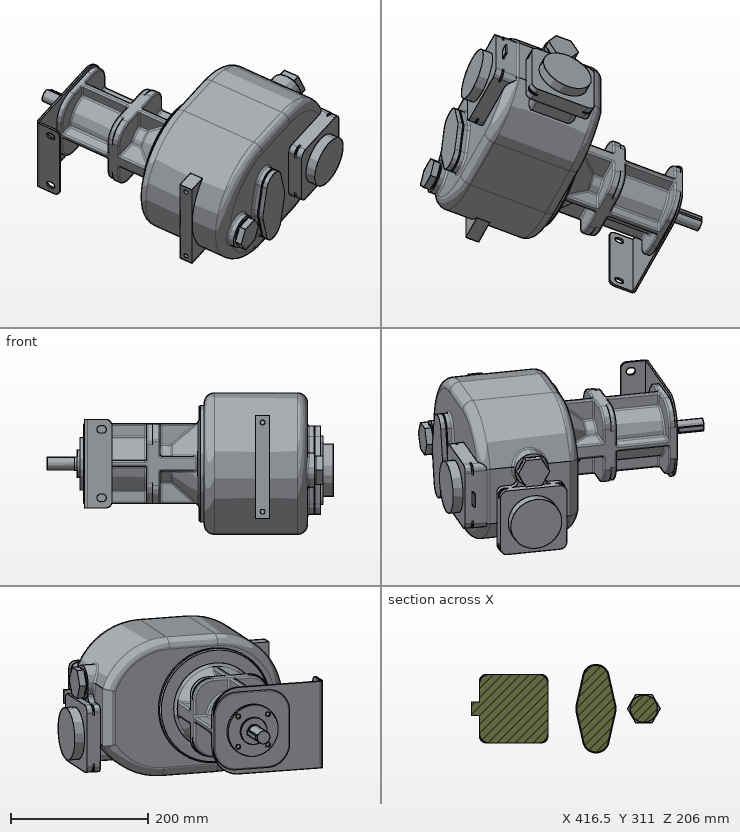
import cadquery as cq
import math


seam_tolerance = 0.001
pick_margin = 0.1
seam_samples = (0.2, 0.5, 0.8)

tank_length = 150.6
tank_radius = 103.0
tank_edge_radius = 15.0
near_arc_y = -6.2
upper_arc_y = 68.0
lower_arc_y = 77.0
tank_side_y = 165.5

shaft_radius = 9.5
shaft_collar_radius = 10.0
hub_radius = 20.0
bearing_cover_radius = 38.4
tip_x = -228.5
collar_x = -188.8
hub_x = -184.8
bearing_cover_x = -180.8
key_width = 6.5
key_top = 12.3
key_start_x = -227.0
key_end_x = -190.0
bearing_cover_hole_offset = 22.7
bearing_cover_hole_diameter = 7.0
bearing_cover_hole_depth = 3.0

housing_width = 116.5
front_flange_x = -175.5
front_flange_end_x = -162.3
front_flange_corner = 34.0
front_flange_edge_radius = 2.0
barrel_radius = 38.5
rib_thickness = 8.5
rim_radius = 2.5
pocket_fillet = 2.5
middle_flange_x = -84.0
middle_joint_x = -75.5
middle_flange_end_x = -64.0
housing_corner = 30.0
adapter_corner = 26.5

neck_radius = 27.0
cone_x = -47.0
neck_blend_radius = 4.0
cone_end_x = -10.0
cone_end_radius = 59.5
disc_x = -7.2
cone_foot_radius = 64.0
disc_radius = 85.0
disc_chamfer = 2.0
wide_rib_thickness = 21.5
adapter_rib_end_x = -2.0

bracket_x = -174.5
sheet = 3.0
bracket_half_width = 64.6
bracket_corner = 38.0
bracket_bottom_y = -109.8
bracket_length = 40.5
bracket_foot_corner = 9.5
bracket_bend_radius = 5.0
slot_center_x = -149.2
slot_half_spacing = 49.8
slot_length = 13.8
slot_width = 11.0

bar_bottom_y = -110.0
bar_inner_y = -60.0
bar_x = 85.0
bar_width = 20.6
bar_top_z = 70.0
bar_length = 150.0
bar_hole_inset = 10.0
bar_hole_diameter = 7.0
bar_hole_depth = 15.0

port_width = 100.0
port_layer_corners = (9.0, 14.0, 10.5)
port_radius = 38.3
port_root_width = 74.0
port_root_corner = 9.0
web_fillet = 8.4
discharge_x = 75.4
discharge_z = -45.0
discharge_base_y = 130.0
discharge_layers_y = (165.5, 174.7, 176.7, 186.0)
discharge_end_y = 201.0
suction_y = 114.7
back_axis_z = -9.5
suction_base_x = 130.0
suction_layers_x = (suction_base_x, 160.5, 162.8, 173.0)
suction_end_x = 188.0
gasket_tab_width = 20.0
gasket_tab_top_y = 176.5

inspection_cover_y = -5.0
inspection_cover_middle_radius = 29.2
inspection_cover_lug_radius = 19.3
inspection_cover_lug_offset = 45.1
inspection_cover_boss_end_x = 160.0
inspection_cover_gap_end_x = 161.7
inspection_cover_end_x = 169.5
inspection_cover_gap_depth = 1.0
boss_fillet = 3.0

boss_radius = 25.0
plug_neck_radius = 20.0
plug_gap = 2.0
plug_head_height = 10.5
plug_sides = 6
plug_flats = 41.5
drain_y = -74.8
drain_boss_end_x = 160.7
fill_x = 75.6
fill_z = 30.2
fill_boss_end_y = 175.9
fill_boss_base_y = 130.0


def facing_x(x):
    """Workplane across the X axis with local axes Y and Z."""
    return cq.Workplane("YZ", origin=(x, 0, 0))


def facing_y(y):
    """Workplane across the Y axis with local axes X and Z; negative extrusions go toward +Y."""
    return cq.Workplane("XZ", origin=(0, y, 0))


def x_cylinder(x_start, x_end, radius, y=0, z=0):
    return facing_x(x_start).center(y, z).circle(radius).extrude(x_end - x_start)


def y_cylinder(y_start, y_end, radius, x, z):
    return facing_y(y_start).center(x, z).circle(radius).extrude(y_start - y_end)


def span_box(x_range, y_range, z_range):
    size = [high - low for low, high in (x_range, y_range, z_range)]
    corner = (x_range[0], y_range[0], z_range[0])
    return cq.Workplane("XY").box(*size, centered=False).translate(corner)


def x_square(x_start, x_end, width, corner, y=0, z=0):
    plate = facing_x(x_start).center(y, z).rect(width, width).extrude(x_end - x_start)
    return plate.edges("|X").fillet(corner)


def y_square(y_start, y_end, width, corner, x, z):
    plate = facing_y(y_start).center(x, z).rect(width, width).extrude(y_start - y_end)
    return plate.edges("|Y").fillet(corner)


def join_rounded(base, added, radius):
    """Join two bodies and round the edges where their surfaces meet."""
    skins = [shell for body in (base, added) for shell in body.shells().vals()]
    joined = base.union(added)
    seam = []
    for edge in joined.edges().vals():
        samples = [edge.positionAt(part).toTuple() for part in seam_samples]
        points = [cq.Vertex.makeVertex(*sample) for sample in samples]
        gap = max(point.distance(skin) for point in points for skin in skins)
        if gap < seam_tolerance:
            seam.append(edge)
    rounded = joined.newObject(seam).fillet(radius)
    return rounded.newObject([rounded.val().fix()])


def make_tank():
    upper_z = math.sqrt(tank_radius**2 - (tank_side_y - upper_arc_y) ** 2)
    lower_z = -math.sqrt(tank_radius**2 - (tank_side_y - lower_arc_y) ** 2)
    upper_angle = (math.pi / 2 + math.atan2(upper_z, tank_side_y - upper_arc_y)) / 2
    lower_angle = (-math.pi / 2 + math.atan2(lower_z, tank_side_y - lower_arc_y)) / 2
    upper_mid = (
        upper_arc_y + tank_radius * math.cos(upper_angle),
        tank_radius * math.sin(upper_angle),
    )
    lower_mid = (
        lower_arc_y + tank_radius * math.cos(lower_angle),
        tank_radius * math.sin(lower_angle),
    )
    outline = (
        facing_x(0)
        .moveTo(near_arc_y, tank_radius)
        .lineTo(upper_arc_y, tank_radius)
        .threePointArc(upper_mid, (tank_side_y, upper_z))
        .lineTo(tank_side_y, lower_z)
        .threePointArc(lower_mid, (lower_arc_y, -tank_radius))
        .lineTo(near_arc_y, -tank_radius)
        .threePointArc((near_arc_y - tank_radius, 0), (near_arc_y, tank_radius))
        .close()
    )
    return outline.extrude(tank_length).edges("<X or >X").fillet(tank_edge_radius)


def make_shaft_end():
    shaft = x_cylinder(tip_x, hub_x, shaft_radius)
    shaft = shaft.union(x_cylinder(collar_x, hub_x, shaft_collar_radius))
    key = span_box(
        (key_start_x, key_end_x), (0, key_top), (-key_width / 2, key_width / 2)
    )
    hub = x_cylinder(hub_x, bearing_cover_x, hub_radius)
    cover = (
        x_cylinder(bearing_cover_x, front_flange_x, bearing_cover_radius)
        .faces("<X")
        .workplane(origin=(bearing_cover_x, 0, 0))
        .rect(2 * bearing_cover_hole_offset, 2 * bearing_cover_hole_offset, forConstruction=True)
        .vertices()
        .hole(bearing_cover_hole_diameter, bearing_cover_hole_depth)
    )
    return shaft.union(key).union(hub).union(cover)


def cross_ribs(x_start, x_end, side_thickness, upright_thickness):
    """Ribs on the four sides of the axis, reaching the outline of the square flanges."""
    half = housing_width / 2
    side = span_box(
        (x_start, x_end), (-half, half), (-side_thickness / 2, side_thickness / 2)
    )
    upright = span_box(
        (x_start, x_end), (-upright_thickness / 2, upright_thickness / 2), (-half, half)
    )
    return side.union(upright)


def pocket_edges(body, x_start, x_end, on_rim):
    """Edges between two planes across the axis, on the outer rim of the pockets or inside them."""
    chosen = []
    for edge in body.edges().vals():
        middle = edge.positionAt(0.5)
        within = x_start - pick_margin < middle.x < x_end + pick_margin
        across = max(abs(middle.y), abs(middle.z))
        beyond_ribs = min(abs(middle.y), abs(middle.z)) > wide_rib_thickness
        outer = across > housing_width / 2 - pick_margin
        off_barrel = math.hypot(middle.y, middle.z) > barrel_radius + pick_margin
        outer = outer or (beyond_ribs and off_barrel)
        if within and outer == on_rim:
            chosen.append(edge)
    return body.newObject(chosen)


def round_pockets(body, x_start, x_end):
    """Round the inner corners of the pockets between the ribs, then their outer rims."""
    body = pocket_edges(body, x_start, x_end, on_rim=False).fillet(pocket_fillet)
    return pocket_edges(body, x_start, x_end, on_rim=True).fillet(rim_radius)


def make_bearing_housing():
    front = x_square(
        front_flange_x, front_flange_end_x, housing_width, front_flange_corner
    )
    front = front.faces("<X").edges().fillet(front_flange_edge_radius)
    barrel = x_cylinder(front_flange_end_x, middle_flange_x, barrel_radius)
    ribs = cross_ribs(
        front_flange_end_x, middle_flange_x, rib_thickness, rib_thickness
    )
    rear = x_square(middle_flange_x, middle_joint_x, housing_width, housing_corner)
    core = front.union(barrel).union(ribs).union(rear)
    return round_pockets(core, front_flange_end_x, middle_flange_x)


def make_adapter():
    flange = x_square(
        middle_joint_x, middle_flange_end_x, housing_width, adapter_corner
    )
    ribs = cross_ribs(
        middle_flange_end_x, adapter_rib_end_x, wide_rib_thickness, rib_thickness
    )
    frame = round_pockets(flange.union(ribs), middle_flange_end_x, cone_end_x)
    core_start_x = (middle_joint_x + middle_flange_end_x) / 2
    core = (
        cq.Workplane("XY")
        .moveTo(core_start_x, 0)
        .lineTo(core_start_x, neck_radius)
        .lineTo(cone_x, neck_radius)
        .lineTo(cone_end_x, cone_end_radius)
        .lineTo(disc_x, cone_foot_radius)
        .lineTo(disc_x, disc_radius - disc_chamfer)
        .lineTo(disc_x + disc_chamfer, disc_radius)
        .lineTo(tank_edge_radius, disc_radius)
        .lineTo(tank_edge_radius, 0)
        .close()
        .revolve(360, (0, 0, 0), (1, 0, 0))
    )
    neck_corner = cq.selectors.BoxSelector(
        (cone_x - pick_margin, -cone_end_radius, -cone_end_radius),
        (cone_x + pick_margin, cone_end_radius, cone_end_radius),
    )
    core = core.edges(neck_corner).fillet(neck_blend_radius)
    return join_rounded(frame, core, pocket_fillet)


def make_bracket():
    top_y = housing_width / 2
    plate = span_box(
        (bracket_x, bracket_x + sheet),
        (bracket_bottom_y, top_y),
        (-bracket_half_width, bracket_half_width),
    )
    plate = plate.edges("|X and >Y").fillet(bracket_corner)
    foot = span_box(
        (bracket_x, bracket_x + bracket_length),
        (bracket_bottom_y, bracket_bottom_y + sheet),
        (-bracket_half_width, bracket_half_width),
    )
    foot = foot.edges("|Y and >X").fillet(bracket_foot_corner)
    bracket = plate.union(foot).edges("|Z and <X and <Y").fillet(bracket_bend_radius)
    slots = (
        facing_y(bracket_bottom_y)
        .pushPoints([(slot_center_x, side * slot_half_spacing) for side in (-1, 1)])
        .slot2D(slot_length, slot_width)
        .extrude(-sheet)
    )
    return bracket.cut(slots)


def make_foot_bar():
    bar = span_box(
        (bar_x - bar_width / 2, bar_x + bar_width / 2),
        (bar_bottom_y, bar_inner_y),
        (bar_top_z - bar_length, bar_top_z),
    )
    holes_z = (bar_top_z - bar_hole_inset, bar_top_z - bar_length + bar_hole_inset)
    for z in holes_z:
        hole_end_y = bar_bottom_y + bar_hole_depth
        bar = bar.cut(
            y_cylinder(bar_bottom_y, hole_end_y, bar_hole_diameter / 2, bar_x, z)
        )
    return bar


def make_discharge_port():
    port = y_square(
        discharge_base_y,
        discharge_layers_y[0],
        port_root_width,
        port_root_corner,
        discharge_x,
        discharge_z,
    )
    spans = zip(discharge_layers_y, discharge_layers_y[1:], port_layer_corners)
    for start, end, corner in spans:
        port = port.union(
            y_square(start, end, port_width, corner, discharge_x, discharge_z)
        )
    spigot = y_cylinder(
        discharge_layers_y[-1], discharge_end_y, port_radius, discharge_x, discharge_z
    )
    return port.union(spigot)


def make_suction_port():
    port = x_cylinder(
        suction_layers_x[-1], suction_end_x, port_radius, suction_y, back_axis_z
    )
    spans = zip(suction_layers_x, suction_layers_x[1:], port_layer_corners)
    for start, end, corner in spans:
        port = port.union(
            x_square(start, end, port_width, corner, suction_y, back_axis_z)
        )
    gasket_tab = span_box(
        suction_layers_x[1:3],
        (suction_y, gasket_tab_top_y),
        (back_axis_z - gasket_tab_width / 2, back_axis_z + gasket_tab_width / 2),
    )
    return port.union(gasket_tab)


def lugged_plate(x_start, x_end, inset=0.0):
    """Round plate with a lug above and below, joined by tangent sides."""
    middle = inspection_cover_middle_radius - inset
    lug = inspection_cover_lug_radius - inset
    rise = (middle - lug) / inspection_cover_lug_offset
    run = math.sqrt(1 - rise**2)
    lug_y = lug * run
    lug_z = inspection_cover_lug_offset + lug * rise
    waist_y = middle * run
    waist_z = middle * rise
    tip_z = inspection_cover_lug_offset + lug
    return (
        facing_x(x_start)
        .center(inspection_cover_y, back_axis_z)
        .moveTo(lug_y, lug_z)
        .threePointArc((0, tip_z), (-lug_y, lug_z))
        .lineTo(-waist_y, waist_z)
        .threePointArc((-middle, 0), (-waist_y, -waist_z))
        .lineTo(-lug_y, -lug_z)
        .threePointArc((0, -tip_z), (lug_y, -lug_z))
        .lineTo(waist_y, -waist_z)
        .threePointArc((middle, 0), (waist_y, waist_z))
        .close()
        .extrude(x_end - x_start)
    )


def make_inspection_cover():
    gasket = lugged_plate(
        inspection_cover_boss_end_x, inspection_cover_gap_end_x, inspection_cover_gap_depth
    )
    cover = lugged_plate(inspection_cover_gap_end_x, inspection_cover_end_x)
    return gasket.union(cover)


def add_drain_plug(tank):
    """Add the drain boss on the back face with its hexagonal plug."""
    head_x = drain_boss_end_x + plug_gap
    boss = x_cylinder(
        tank_length - tank_edge_radius, drain_boss_end_x, boss_radius, drain_y, back_axis_z
    )
    neck = x_cylinder(drain_boss_end_x, head_x, plug_neck_radius, drain_y, back_axis_z)
    head = (
        facing_x(head_x)
        .center(drain_y, back_axis_z)
        .polygon(plug_sides, plug_flats / math.cos(math.pi / plug_sides))
        .extrude(plug_head_height)
    )
    return join_rounded(tank, boss, boss_fillet).union(neck).union(head)


def make_fill_web():
    """Web that blends the fill boss into the top of the first discharge flange layer."""
    flange_top = discharge_z + port_width / 2
    rise = fill_z - flange_top
    center_z = flange_top + web_fillet
    half_width = math.sqrt((boss_radius + web_fillet) ** 2 - (rise - web_fillet) ** 2)
    lean = math.atan2(rise - web_fillet, half_width)
    touch = (
        half_width - web_fillet * math.cos(lean),
        center_z + web_fillet * math.sin(lean),
    )
    bend = (lean - math.pi / 2) / 2
    middle = (
        half_width - web_fillet * math.cos(bend),
        center_z + web_fillet * math.sin(bend),
    )
    end_y = discharge_layers_y[1]
    outline = (
        facing_y(discharge_base_y)
        .center(fill_x, 0)
        .moveTo(-half_width, discharge_z)
        .lineTo(half_width, discharge_z)
        .lineTo(half_width, flange_top)
        .threePointArc(middle, touch)
        .lineTo(-touch[0], touch[1])
        .threePointArc((-middle[0], middle[1]), (-half_width, flange_top))
        .close()
    )
    return outline.extrude(discharge_base_y - end_y)


def add_fill_plug(tank):
    """Add the fill boss on the +Y side with its hexagonal plug."""
    head_y = fill_boss_end_y + plug_gap
    boss = y_cylinder(fill_boss_base_y, fill_boss_end_y, boss_radius, fill_x, fill_z)
    neck = y_cylinder(fill_boss_end_y, head_y, plug_neck_radius, fill_x, fill_z)
    head = (
        facing_y(head_y)
        .center(fill_x, fill_z)
        .polygon(plug_sides, plug_flats / math.cos(math.pi / plug_sides))
        .extrude(-plug_head_height)
    )
    return join_rounded(tank, boss, boss_fillet).union(neck).union(head)


cover_boss = lugged_plate(tank_length - tank_edge_radius, inspection_cover_boss_end_x)
tank = join_rounded(make_tank(), cover_boss, boss_fillet)
pump = add_fill_plug(add_drain_plug(tank))
for component in (
    make_adapter(),
    make_bearing_housing(),
    make_bracket(),
    make_shaft_end(),
    make_foot_bar(),
    make_discharge_port(),
    make_fill_web(),
    make_suction_port(),
    make_inspection_cover(),
):
    pump = pump.union(component)
result = pump